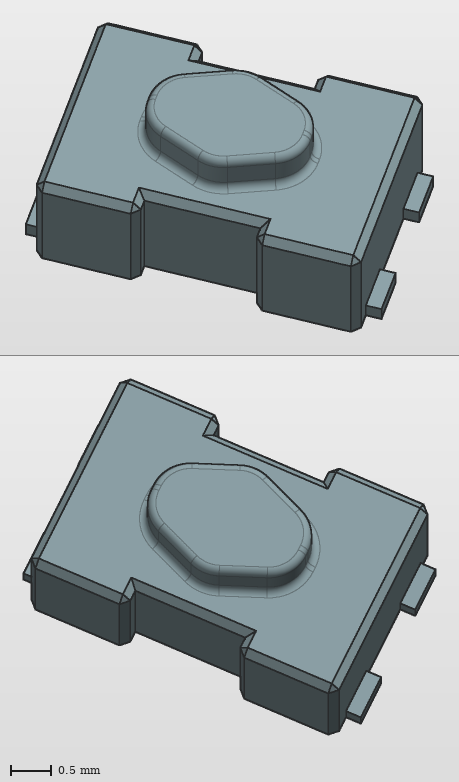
import cadquery as cq
import math

overall_length = 4.6
total_height = 1.9

body_length = 4.195
body_width = 2.8
body_height = 1.405
body_chamfer = 0.1
notch_length = 1.5
notch_depth = 0.25

button_length = 2.1
button_width = 1.525
button_corner_radius = 0.5
button_slope = math.radians(22.5)
button_edge_radius = 0.1
button_base_radius = 0.1

terminal_width = 0.6
terminal_height = 0.2
terminal_gap = 1.0

button_height = total_height - body_height


def make_housing():
    """Block with a notch in each long side, chamfered on its outer edges."""
    block = cq.Workplane("XY").box(body_length, body_width, body_height, centered=(True, True, False))
    notch_middle_y = (body_width - notch_depth) / 2
    notches = (
        cq.Workplane("XY")
        .pushPoints([(0, notch_middle_y), (0, -notch_middle_y)])
        .rect(notch_length, notch_depth)
        .extrude(body_height)
    )
    block = block.cut(notches)

    outer_uprights = block.edges("|Z").filter(lambda edge: abs(edge.Center().y) > notch_middle_y)
    return block.faces(">Z").edges().add(outer_uprights).chamfer(body_chamfer)


def make_button():
    """Raised button on the top face, with its upper rim rounded."""
    half_length = button_length / 2
    apex_y = button_width / 2 + button_corner_radius * (1 / math.cos(button_slope) - 1)
    shoulder_y = apex_y - half_length * math.tan(button_slope)
    outline = [
        (half_length, -shoulder_y),
        (half_length, shoulder_y),
        (0, apex_y),
        (-half_length, shoulder_y),
        (-half_length, -shoulder_y),
        (0, -apex_y),
    ]
    return (
        cq.Workplane("XY", origin=(0, 0, body_height))
        .polyline(outline)
        .close()
        .extrude(button_height)
        .edges("|Z")
        .fillet(button_corner_radius)
        .faces(">Z")
        .edges()
        .fillet(button_edge_radius)
    )


def blend_button_base(part):
    """Fillet the seam between the button and the housing's top face."""
    seam_reach = 0.045
    seam = cq.selectors.BoxSelector(
        (-button_length / 2 - seam_reach, -button_width / 2 - seam_reach, body_height - seam_reach),
        (button_length / 2 + seam_reach, button_width / 2 + seam_reach, body_height + seam_reach),
    )
    return part.edges(seam).fillet(button_base_radius)


def make_terminals():
    """Two small feet at each end, flush with the underside."""
    terminal_length = (overall_length - body_length) / 2
    return (
        cq.Workplane("XY")
        .rarray(body_length + terminal_length, terminal_width + terminal_gap, 2, 2)
        .rect(terminal_length, terminal_width)
        .extrude(terminal_height)
    )


housing_with_button = blend_button_base(make_housing().union(make_button()))
result = housing_with_button.union(make_terminals())